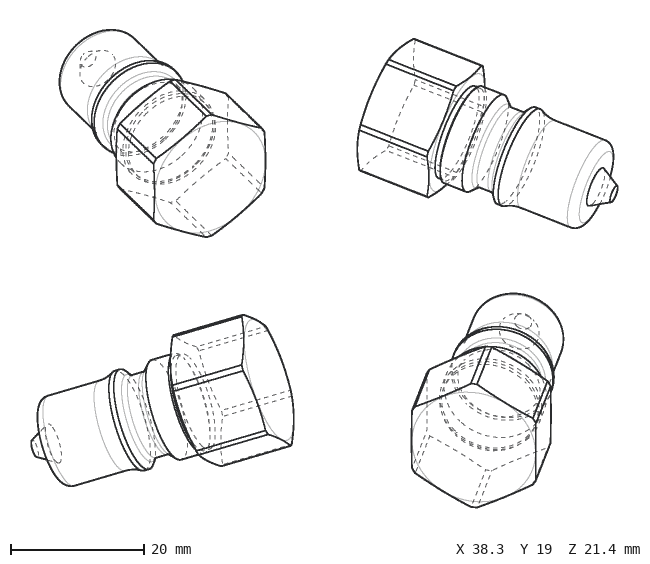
import cadquery as cq
import math

total_length = 38.3
hex_across_flats = 19.0
hex_corner_diameter = 21.4
hex_face_diameter = 18.92
hex_start = 26.27
hex_chamfer_angle = 15.0

pin_length = 3.03
pin_tip_radius = 1.35
pin_base_radius = 3.05
body_radius = 14.15 / 2
nose_fillet = 1.35

collar_radius = 15.65 / 2
flare_start = 12.7
collar_start = 15.5
collar_end = 16.3
groove_radius = 13.0 / 2
groove_start = 17.92
groove_end = 19.75
front_fillet = 1.15
front_slope = 45.0
rear_fillet = 1.0
rear_slope = 45.0

shoulder_start = 21.55
shoulder_end = 25.25
shoulder_chamfer = 0.2
neck_radius = 14.9 / 2


def groove_fillet(groove_edge, direction, radius, slope):
    """Return the outer and middle points of a fillet rising from the groove floor."""
    def at_angle(degrees):
        angle = math.radians(degrees)
        x = groove_edge + direction * radius * math.sin(angle)
        return (x, groove_radius + radius * (1 - math.cos(angle)))

    return at_angle(slope), at_angle(slope / 2)


def make_plug():
    """Revolve the pin, nose, collar, groove, shoulder and neck around X."""
    nose_end = pin_length + nose_fillet
    nose_center_radius = body_radius - nose_fillet
    nose_mid = (
        nose_end - nose_fillet * math.sqrt(0.5),
        nose_center_radius + nose_fillet * math.sqrt(0.5),
    )
    front_outer, front_mid = groove_fillet(groove_start, -1, front_fillet, front_slope)
    rear_outer, rear_mid = groove_fillet(groove_end, 1, rear_fillet, rear_slope)

    profile = (
        cq.Workplane("XY")
        .lineTo(0, pin_tip_radius)
        .lineTo(pin_length, pin_base_radius)
        .lineTo(pin_length, nose_center_radius)
        .threePointArc(nose_mid, (nose_end, body_radius))
        .lineTo(flare_start, body_radius)
        .tangentArcPoint((collar_start, collar_radius), relative=False)
        .lineTo(collar_end, collar_radius)
        .lineTo(*front_outer)
        .threePointArc(front_mid, (groove_start, groove_radius))
        .lineTo(groove_end, groove_radius)
        .threePointArc(rear_mid, rear_outer)
        .lineTo(shoulder_start, collar_radius)
        .lineTo(shoulder_end, collar_radius)
        .lineTo(shoulder_end + shoulder_chamfer, neck_radius)
        .lineTo(hex_start, neck_radius)
        .lineTo(hex_start, 0)
        .close()
    )
    return profile.revolve(360, (0, 0, 0), (1, 0, 0))


def make_nut():
    """Make a hexagon with corners along Z, turned to a barrel with conical ends."""
    across_corners = hex_across_flats / math.cos(math.radians(30))
    hexagon = (
        cq.Workplane("YZ", origin=(hex_start, 0, 0))
        .transformed(rotate=(0, 0, 90))
        .polygon(6, across_corners)
        .extrude(total_length - hex_start)
    )
    face_radius = hex_face_diameter / 2
    corner_radius = hex_corner_diameter / 2
    chamfer_length = (corner_radius - face_radius) * math.tan(math.radians(hex_chamfer_angle))
    barrel = (
        cq.Workplane("XY")
        .moveTo(hex_start, 0)
        .lineTo(hex_start, face_radius)
        .lineTo(hex_start + chamfer_length, corner_radius)
        .lineTo(total_length - chamfer_length, corner_radius)
        .lineTo(total_length, face_radius)
        .lineTo(total_length, 0)
        .close()
        .revolve(360, (0, 0, 0), (1, 0, 0))
    )
    return hexagon.intersect(barrel)


result = make_plug().union(make_nut())